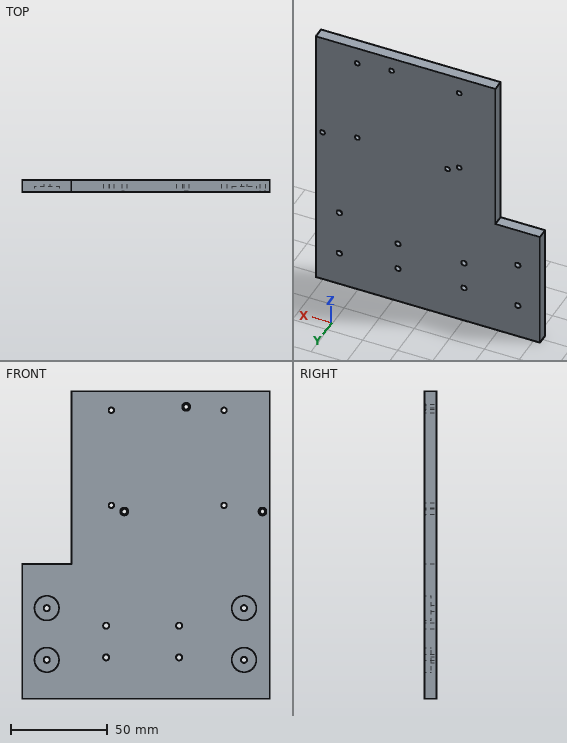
import cadquery as cq

width = 127.8
thickness = 6.4
height = 158.8
notch_width = 25.4
foot_height = 69.7

mount_diameter = 3.0
counterbore_diameter = 12.7
counterbore_depth = 3.2
mount_left = 12.7
mount_bottom = 20.2
mount_pitch_x = 101.8
mount_pitch_z = 26.7

upper_diameter = 2.7
upper_left = 46.0
upper_bottom = 99.9
upper_pitch_x = 58.1
upper_pitch_z = 49.0

lower_diameter = 3.0
lower_left = 43.3
lower_bottom = 21.5
lower_pitch_x = 37.6
lower_pitch_z = 16.4

countersunk_diameter = 2.7
countersink_diameter = 4.1
countersink_angle = 90
countersunk_left = 52.7
countersunk_right = 124.0
countersunk_level = 96.7
countersunk_top_x = 84.6
countersunk_top_z = 150.7


def rectangle_points(left, bottom, pitch_x, pitch_z):
    """Corners of a rectangular hole pattern, as (X, Z) pairs."""
    return [(left + i * pitch_x, bottom + j * pitch_z) for i in range(2) for j in range(2)]


def front_face(body, points):
    """Points on the front face, with holes drilled toward +Y."""
    return body.faces("<Y").workplane(origin=(0, 0, 0)).pushPoints(points)


result = (
    cq.Workplane("XZ")
    .moveTo(0, 0)
    .lineTo(width, 0)
    .lineTo(width, height)
    .lineTo(notch_width, height)
    .lineTo(notch_width, foot_height)
    .lineTo(0, foot_height)
    .close()
    .extrude(-thickness)
)

mount_points = rectangle_points(mount_left, mount_bottom, mount_pitch_x, mount_pitch_z)
result = front_face(result, mount_points).cboreHole(mount_diameter, counterbore_diameter, counterbore_depth)

upper_points = rectangle_points(upper_left, upper_bottom, upper_pitch_x, upper_pitch_z)
result = front_face(result, upper_points).hole(upper_diameter)

lower_points = rectangle_points(lower_left, lower_bottom, lower_pitch_x, lower_pitch_z)
result = front_face(result, lower_points).hole(lower_diameter)

countersunk_points = [
    (countersunk_left, countersunk_level),
    (countersunk_right, countersunk_level),
    (countersunk_top_x, countersunk_top_z),
]
result = front_face(result, countersunk_points).cskHole(
    countersunk_diameter, countersink_diameter, countersink_angle
)